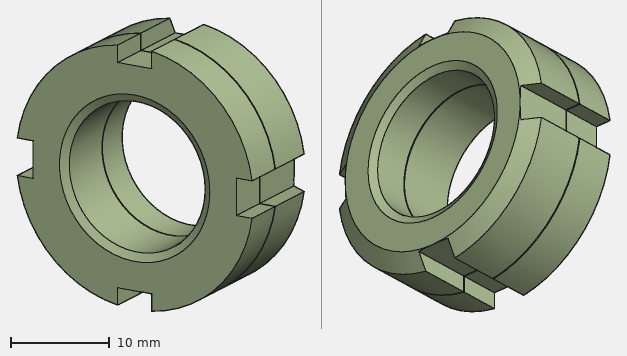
import cadquery as cq
import math


notched_width = 27.7
total_length = 11.5
flange_length = 4.55
spigot_length = 2.4
gap = 0.1

slot_count = 4
slot_width = 4.0
slot_floor_radius = 12.0

bore_radius = 8.0
bore_mouth_radius = 8.87
rear_face_radius = slot_floor_radius
chamfer_angle = 30.0

outer_radius = math.hypot(notched_width / 2, slot_width / 2)
chamfer_slope = math.tan(math.radians(chamfer_angle))
bore_chamfer_length = (bore_mouth_radius - bore_radius) * chamfer_slope
rear_chamfer_length = (outer_radius - rear_face_radius) * chamfer_slope
spigot_radius = (bore_radius + slot_floor_radius) / 2
spigot_end = flange_length + spigot_length
nut_start = flange_length + gap
recess_floor = spigot_end + gap


def revolve_profile(points):
    """Revolve a closed (radius, Y) profile about the Y axis."""
    return cq.Workplane("XY").polyline(points).close().revolve(360, (0, 0, 0), (0, 1, 0))


def cut_spanner_slots(body):
    """Cut the evenly spaced slots through the full length of a body."""
    slot_depth = outer_radius - slot_floor_radius
    for index in range(slot_count):
        slot = (
            cq.Workplane("XY")
            .box(2 * slot_depth, total_length, slot_width, centered=(False, False, True))
            .translate((slot_floor_radius, 0, 0))
            .rotate((0, 0, 0), (0, 1, 0), index * 360 / slot_count)
        )
        body = body.cut(slot)
    return body


def make_locking_ring():
    """Front ring with a chamfered bore edge and a spigot on its back."""
    blank = revolve_profile([
        (bore_mouth_radius, 0),
        (outer_radius, 0),
        (outer_radius, flange_length),
        (spigot_radius, flange_length),
        (spigot_radius, spigot_end),
        (bore_radius, spigot_end),
        (bore_radius, bore_chamfer_length),
    ])
    return cut_spanner_slots(blank)


def make_nut():
    """Rear nut with both rear edges chamfered and a recess that fits the ring's spigot."""
    blank = revolve_profile([
        (spigot_radius, nut_start),
        (outer_radius, nut_start),
        (outer_radius, total_length - rear_chamfer_length),
        (rear_face_radius, total_length),
        (bore_mouth_radius, total_length),
        (bore_radius, total_length - bore_chamfer_length),
        (bore_radius, recess_floor),
        (spigot_radius, recess_floor),
    ])
    return cut_spanner_slots(blank)


locking_ring = make_locking_ring()
nut = make_nut()

result = cq.Compound.makeCompound([locking_ring.val(), nut.val()])